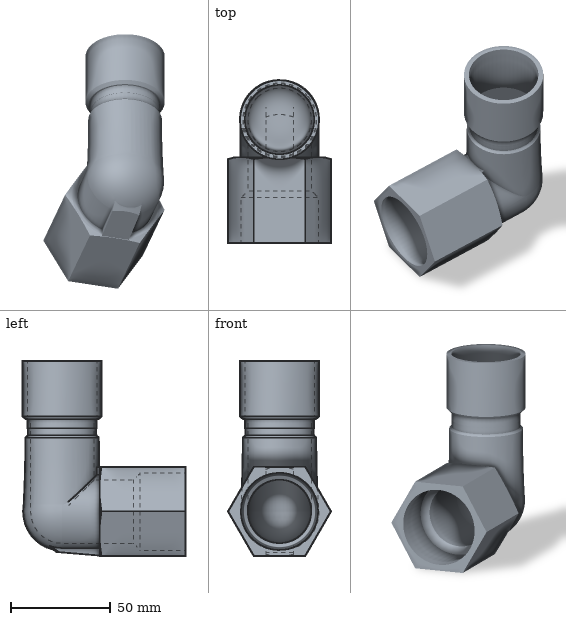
import cadquery as cq
import math


hex_flats = 45.0
hex_face_y = -62.25
hex_back_y = -18.9
hex_corner_radius = hex_flats / math.sqrt(3)
hex_chamfer_angle = 16.0
thread_diameter = 38.95
thread_depth = 23.0
bore_diameter = 32.0
bore_cone_angle = 45.0

elbow_radius = 19.75
body_base_z = 3.4
body_top_z = 37.2
body_top_radius = 18.6
body_chamfer_width = 1.2
body_chamfer_height = 1.1

groove_diameter = 34.7
groove_top_z = 42.0
neck_diameter = 35.0

socket_diameter = 40.0
socket_bore_diameter = 35.0
socket_top_z = 75.9
socket_height = 29.4
socket_chamfer_height = 1.5
socket_chamfer_width = 1.6
socket_bore_depth = 28.0
socket_floor_thickness = 1.5
socket_bottom_z = socket_top_z - socket_height
inner_bore_top_z = socket_top_z - socket_bore_depth - socket_floor_thickness

rib_width = 14.0
rib_root_height = 22.3
rib_tip_height = 20.5
rib_tip_y = 2.7
rib_end_y = 7.7
rib_end_height = 17.0


def along_minus_y(start_y):
    """Workplane at start_y whose normal points toward -Y."""
    return cq.Workplane("XZ", origin=(0, start_y, 0))


def make_vertical_leg():
    """Revolved outside of the flared body, neck and socket."""
    socket_radius = socket_diameter / 2
    neck_radius = neck_diameter / 2
    groove_radius = groove_diameter / 2
    base_radius = math.sqrt(elbow_radius**2 - body_base_z**2)
    flare_height = body_top_z - body_base_z
    flare_width = base_radius - body_top_radius
    flare_radius = (flare_height**2 + flare_width**2) / (2 * flare_width)
    half_angle = math.asin(flare_height / flare_radius) / 2
    flare_middle = (
        body_top_radius + flare_radius * (1 - math.cos(half_angle)),
        body_top_z - flare_radius * math.sin(half_angle),
    )
    body_shoulder_z = body_top_z + body_chamfer_height
    socket_chamfer_z = socket_bottom_z + socket_chamfer_height
    return (
        cq.Workplane("XZ")
        .moveTo(0, socket_top_z)
        .lineTo(socket_radius, socket_top_z)
        .lineTo(socket_radius, socket_chamfer_z)
        .lineTo(socket_radius - socket_chamfer_width, socket_bottom_z)
        .lineTo(neck_radius, socket_bottom_z)
        .lineTo(neck_radius, groove_top_z)
        .lineTo(groove_radius, groove_top_z)
        .lineTo(groove_radius, body_shoulder_z)
        .lineTo(body_top_radius - body_chamfer_width, body_shoulder_z)
        .lineTo(body_top_radius, body_top_z)
        .threePointArc(flare_middle, (base_radius, body_base_z))
        .lineTo(0, body_base_z)
        .close()
        .revolve(360, (0, 0, 0), (0, 1, 0))
    )


def make_elbow():
    """Ball at the corner with the horizontal cylinder running into the hexagon."""
    ball = cq.Workplane("XY").sphere(elbow_radius)
    return ball.union(along_minus_y(0).circle(elbow_radius).extrude(-hex_back_y))


def make_hexagon():
    """Hexagon with its rear corners turned off by a shallow cone."""
    length = hex_back_y - hex_face_y
    prism = along_minus_y(hex_back_y).polygon(6, 2 * hex_corner_radius).extrude(length)
    rim_radius = hex_flats / 2
    cone_width = hex_corner_radius - rim_radius
    cone_length = cone_width * math.tan(math.radians(hex_chamfer_angle))
    turned = (
        cq.Workplane("XY")
        .moveTo(0, hex_back_y)
        .lineTo(rim_radius, hex_back_y)
        .lineTo(hex_corner_radius, hex_back_y - cone_length)
        .lineTo(hex_corner_radius, hex_face_y)
        .lineTo(0, hex_face_y)
        .close()
        .revolve(360, (0, 0, 0), (0, 1, 0))
    )
    return prism.intersect(turned)


def make_rib(side):
    """Tapered rib on the upper (side = 1) or lower (side = -1) flank, its far end turned on a cone."""
    prism = (
        cq.Workplane("YZ")
        .moveTo(hex_back_y, 0)
        .lineTo(hex_back_y, side * rib_root_height)
        .lineTo(rib_tip_y, side * rib_tip_height)
        .lineTo(rib_end_y, side * rib_tip_height)
        .lineTo(rib_end_y, 0)
        .close()
        .extrude(rib_width / 2, both=True)
    )
    tip_radius = rib_tip_y - hex_back_y
    end_radius = rib_end_y - hex_back_y
    cone_slope = (end_radius - tip_radius) / (rib_tip_height - rib_end_height)
    root_radius = tip_radius - (rib_root_height - rib_tip_height) * cone_slope
    turned_end = (
        cq.Workplane("XZ", origin=(0, hex_back_y, 0))
        .moveTo(0, 0)
        .lineTo(end_radius, 0)
        .lineTo(end_radius, side * rib_end_height)
        .lineTo(root_radius, side * rib_root_height)
        .lineTo(0, side * rib_root_height)
        .close()
        .revolve(360, (0, 0, 0), (0, 1, 0))
    )
    return prism.intersect(turned_end)


def make_passage():
    """Threaded mouth, lead-in cone and the round passage turning upward."""
    thread_radius = thread_diameter / 2
    bore_radius = bore_diameter / 2
    thread_end_y = hex_face_y + thread_depth
    cone_end_y = thread_end_y + (thread_radius - bore_radius) / math.tan(math.radians(bore_cone_angle))
    horizontal = (
        cq.Workplane("XY")
        .moveTo(0, hex_face_y)
        .lineTo(thread_radius, hex_face_y)
        .lineTo(thread_radius, thread_end_y)
        .lineTo(bore_radius, cone_end_y)
        .lineTo(bore_radius, 0)
        .lineTo(0, 0)
        .close()
        .revolve(360, (0, 0, 0), (0, 1, 0))
    )
    ball = cq.Workplane("XY").sphere(bore_radius)
    vertical = cq.Workplane("XY").circle(bore_radius).extrude(inner_bore_top_z)
    return horizontal.union(ball).union(vertical)


def make_socket_bore():
    """Flat-bottomed socket opening upward."""
    return (
        cq.Workplane("XY", origin=(0, 0, socket_top_z - socket_bore_depth))
        .circle(socket_bore_diameter / 2)
        .extrude(socket_bore_depth)
    )


body = make_elbow().union(make_vertical_leg()).union(make_hexagon())
for rib_side in (-1, 1):
    body = body.union(make_rib(rib_side))

result = body.cut(make_passage()).cut(make_socket_bore())